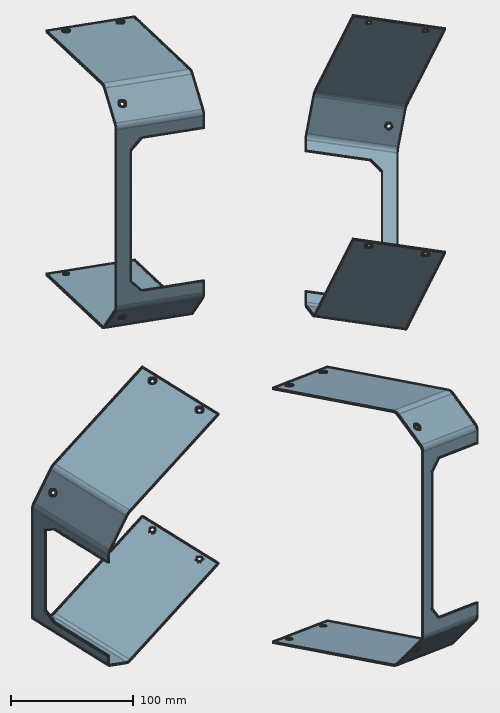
import cadquery as cq
import math

length = 150.2
width = 78.0
height = 217.0

thickness = 1.0
corner_leg = 27.0
outer_bend_radius = 7.5
inner_bend_radius = outer_bend_radius - thickness

web_width = 13.2
window_height = 136.0
window_chamfer = 9.5

hole_diameter = 4.5
countersink_diameter = 6.5
end_hole_inset = 6.0
end_hole_spacing = 48.2
slant_hole_inset = 11.0

x_left, x_right = -length / 2, length / 2
y_front, y_back = -width / 2, width / 2
z_top = height / 2


def bracket_solid(offset, bend_radius):
    """Solid bounded by the bracket outline moved inwards by offset."""
    right = x_right - offset
    top = z_top - offset
    leg = corner_leg - offset * (2 - math.sqrt(2))
    outline = [
        (x_left, -top),
        (right - leg, -top),
        (right, -top + leg),
        (right, top - leg),
        (right - leg, top),
        (x_left, top),
    ]
    block = cq.Workplane("XZ", origin=(0, y_back, 0)).polyline(outline).close().extrude(width)
    bend_edges = block.edges("|Y").edges(cq.selectors.BoxSelector(
        (x_left + offset + thickness, -width, -height),
        (length, width, height),
    ))
    return bend_edges.fillet(bend_radius)


def window():
    """Chamfered opening through the web, open towards +Y."""
    half = window_height / 2
    bottom = y_front + web_width
    outline = [
        (y_back, -half),
        (bottom + window_chamfer, -half),
        (bottom, -half + window_chamfer),
        (bottom, half - window_chamfer),
        (bottom + window_chamfer, half),
        (y_back, half),
    ]
    start = x_right - 2 * thickness
    return cq.Workplane("YZ", origin=(start, 0, 0)).polyline(outline).close().extrude(3 * thickness)


def countersink(position, inward):
    """Conical hole tapering from the outer face through the sheet."""
    return cq.Workplane(obj=cq.Solid.makeCone(
        countersink_diameter / 2, hole_diameter / 2, thickness,
        cq.Vector(*position), cq.Vector(*inward),
    ))


result = bracket_solid(0, outer_bend_radius).cut(bracket_solid(thickness, inner_bend_radius))
result = result.cut(window())

slant_middle = corner_leg / 2
for side in (1, -1):
    for y in (-end_hole_spacing / 2, end_hole_spacing / 2):
        end_position = (x_left + end_hole_inset, y, side * z_top)
        result = result.cut(countersink(end_position, (0, 0, -side)))
    slant_position = (
        x_right - slant_middle,
        y_front + slant_hole_inset,
        side * (z_top - slant_middle),
    )
    result = result.cut(countersink(slant_position, (-1, 0, -side)))